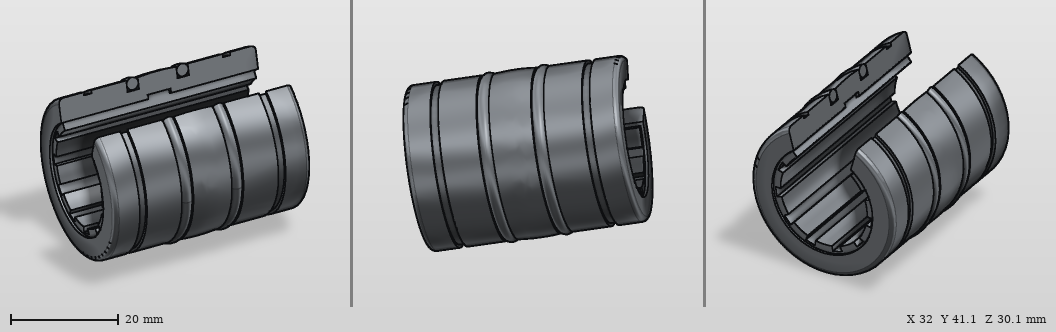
import math

import cadquery as cq

LENGTH = 41.1
OUTER_R = 15.65
CROWN_R = 15.85
BORE_R = 11.1
END_FILLET = 1.0
SNAP_GROOVE_OFFSET = 14.45
SNAP_GROOVE_WIDTH = 1.5
SNAP_GROOVE_R = 15.05

RING_OFFSET = 5.2
RING_SECTION_R = 1.21
RING_TIP_R = 16.0
RING_CENTER_R = RING_TIP_R - RING_SECTION_R
RING_GROOVE_WIDTH = 2 * RING_SECTION_R
RING_GROOVE_R = 13.45

OPENING_HALF_WIDTH = 6.3
OPENING_FLANK_ANGLE = 14.5

LINER_LENGTH = 39.95
LINER_INNER_R = 10.6
TOOTH_TIP_R = 9.55
TOOTH_COUNT = 9
TOOTH_DIVISIONS = 11
TOOTH_PITCH = 360.0 / TOOTH_DIVISIONS
TOOTH_ANGLE = 21.6
BAND_R = 11.9
BAND_WIDTH = 4.75

CLEAR = 20.55


def tube(inner_r, outer_r, length, offset=0.0):
    """Tube along Y with its middle at Y = offset."""
    start = cq.Workplane("XZ", origin=(0, offset + length / 2, 0))
    return start.circle(outer_r).circle(inner_r).extrude(length)


def angular_sector(center_angle, width):
    """Wedge along Y; angles run from +Z towards +X."""
    low = math.radians(center_angle - width / 2)
    high = math.radians(center_angle + width / 2)
    reach = CLEAR / math.cos(math.radians(width / 2))
    return (
        cq.Workplane("XZ", origin=(0, LENGTH / 2, 0))
        .moveTo(0, 0)
        .lineTo(reach * math.sin(low), reach * math.cos(low))
        .lineTo(reach * math.sin(high), reach * math.cos(high))
        .close()
        .extrude(LENGTH)
    )


def make_opening():
    bottom_z = math.sqrt(BORE_R**2 - OPENING_HALF_WIDTH**2)
    slope = math.tan(math.radians(OPENING_FLANK_ANGLE))
    top_half_width = OPENING_HALF_WIDTH + (CLEAR - bottom_z) * slope
    base_half_width = OPENING_HALF_WIDTH - bottom_z * slope
    return (
        cq.Workplane("XZ", origin=(0, LENGTH / 2, 0))
        .moveTo(-base_half_width, 0)
        .lineTo(base_half_width, 0)
        .lineTo(top_half_width, CLEAR)
        .lineTo(-top_half_width, CLEAR)
        .close()
        .extrude(LENGTH)
    )


def make_housing():
    half = LENGTH / 2
    crown_edge = RING_OFFSET - RING_GROOVE_WIDTH / 2
    body = (
        cq.Workplane("XY")
        .moveTo(BORE_R, -half)
        .lineTo(OUTER_R - END_FILLET, -half)
        .radiusArc((OUTER_R, -half + END_FILLET), -END_FILLET)
        .lineTo(OUTER_R, -crown_edge)
        .threePointArc((CROWN_R, 0), (OUTER_R, crown_edge))
        .lineTo(OUTER_R, half - END_FILLET)
        .radiusArc((OUTER_R - END_FILLET, half), -END_FILLET)
        .lineTo(BORE_R, half)
        .close()
        .revolve(360, (0, 0, 0), (0, 1, 0))
    )
    for side in (-1, 1):
        body = body.cut(tube(SNAP_GROOVE_R, CLEAR, SNAP_GROOVE_WIDTH, side * SNAP_GROOVE_OFFSET))
        body = body.cut(tube(RING_GROOVE_R, CLEAR, RING_GROOVE_WIDTH, side * RING_OFFSET))
    body = body.cut(tube(TOOTH_TIP_R, BAND_R, BAND_WIDTH))
    return body.cut(make_opening())


def make_o_ring(offset):
    ring = (
        cq.Workplane("XY")
        .center(RING_CENTER_R, offset)
        .circle(RING_SECTION_R)
        .revolve(360, (-RING_CENTER_R, 0, 0), (-RING_CENTER_R, 1, 0))
    )
    return ring.cut(make_opening())


def make_liner():
    liner = tube(LINER_INNER_R, BORE_R, LINER_LENGTH).union(tube(LINER_INNER_R, BAND_R, BAND_WIDTH))
    tooth_ring = tube(TOOTH_TIP_R, BORE_R, LINER_LENGTH)
    first_tooth = 180 - (TOOTH_COUNT - 1) / 2 * TOOTH_PITCH
    for index in range(TOOTH_COUNT):
        sector = angular_sector(first_tooth + index * TOOTH_PITCH, TOOTH_ANGLE)
        liner = liner.union(tooth_ring.intersect(sector))
    return liner.cut(angular_sector(0, 2 * first_tooth - TOOTH_ANGLE))


housing = make_housing()
liner = make_liner()
o_rings = [make_o_ring(side * RING_OFFSET) for side in (-1, 1)]

result = cq.Compound.makeCompound([housing.val(), liner.val(), *[ring.val() for ring in o_rings]])